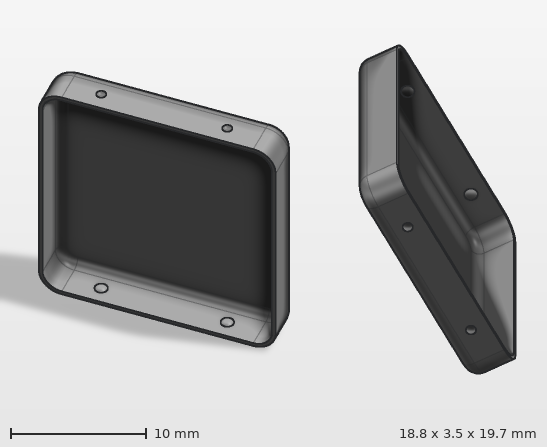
import cadquery as cq
import math

width = 18.8
depth = 3.5
height = 19.7
wall = 0.3
corner_radius = 1.8
back_edge_radius = 1.0

detent_spacing = 10.0
detent_from_rim = 1.4
dimple_diameter = 0.75
dimple_sphere_radius = 0.47
bump_sphere_radius = dimple_sphere_radius + wall
detent_center_offset = math.sqrt(dimple_sphere_radius**2 - (dimple_diameter / 2) ** 2)

rim_y = -depth / 2
detent_y = rim_y + detent_from_rim


def rounded_block(inset):
    """Block with rounded corners and back edge, inset on every side except the rim."""
    block = cq.Workplane("XY").box(width - 2 * inset, depth - inset, height - 2 * inset)
    block = block.edges("|Y").fillet(corner_radius - inset)
    block = block.faces(">Y").edges().fillet(back_edge_radius - inset)
    return block.translate((0, -inset / 2, 0))


def detent_spheres(radius):
    """Spheres centered just outside the top and bottom walls."""
    center_z = height / 2 + detent_center_offset
    spheres = cq.Workplane("XY")
    for side_x in (-1, 1):
        for side_z in (-1, 1):
            center = (side_x * detent_spacing / 2, detent_y, side_z * center_z)
            spheres = spheres.add(cq.Workplane("XY").sphere(radius).translate(center))
    return spheres.combine()


outer = rounded_block(0)
tray = outer.cut(rounded_block(wall))
bumps = detent_spheres(bump_sphere_radius).intersect(outer)
result = tray.union(bumps).cut(detent_spheres(dimple_sphere_radius))